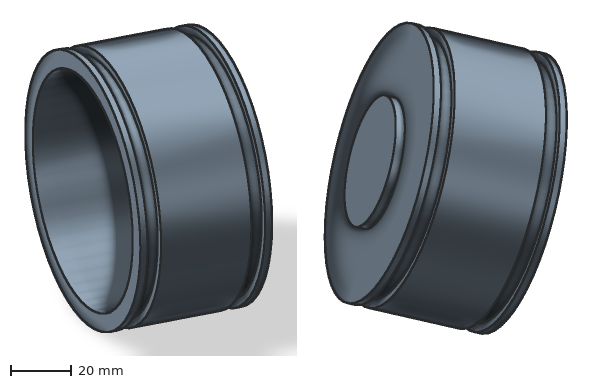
import cadquery as cq

outer_diameter = 95.0
total_length = 50.8
boss_length = 3.2
boss_diameter = 44.65
bore_diameter = 82.5
bore_depth = 38.0
rim_width = 2.6
groove_width = 4.9
groove_diameter = 89.3

body_length = total_length - boss_length
open_end = -total_length / 2
closed_end = open_end + body_length


def disc(diameter, start, length):
    """Solid cylinder along Y, from start towards +Y."""
    plane = cq.Workplane("XZ", origin=(0, start, 0))
    return plane.circle(diameter / 2).extrude(-length)


def groove(start):
    """Square-sided ring to remove from the outer surface."""
    ring = disc(outer_diameter, start, groove_width)
    return ring.cut(disc(groove_diameter, start, groove_width))


cup = disc(outer_diameter, open_end, body_length)
cup = cup.cut(disc(bore_diameter, open_end, bore_depth))

for groove_start in (open_end + rim_width, closed_end - rim_width - groove_width):
    cup = cup.cut(groove(groove_start))

result = cup.union(disc(boss_diameter, closed_end, boss_length))